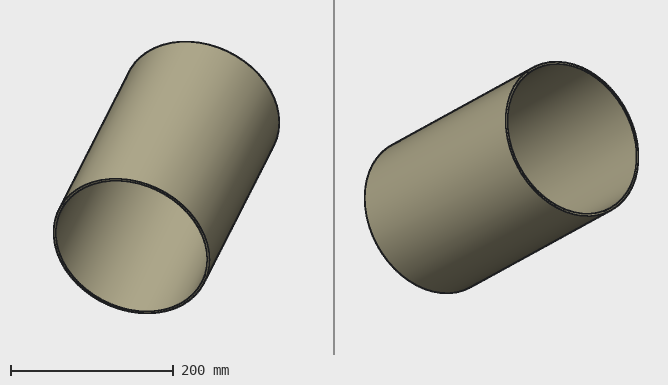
import cadquery as cq

length = 300.0
outer_diameter = 200.0
wall = 3.0

inner_diameter = outer_diameter - 2 * wall

result = (
    cq.Workplane("XZ", origin=(0, length / 2, 0))
    .circle(outer_diameter / 2)
    .circle(inner_diameter / 2)
    .extrude(length)
)